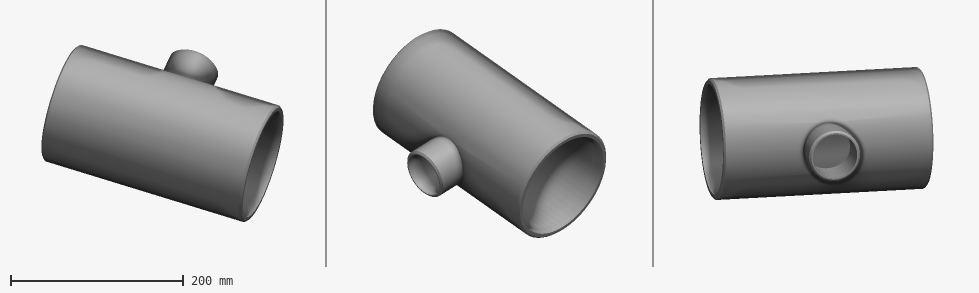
import cadquery as cq

run_length = 247.9
run_diameter = 141.3
run_wall = 6.55
branch_diameter = 60.3
branch_wall = 3.9
branch_reach = 104.65
bevel_length = 2.2
bevel_depth = 2.2

run_radius = run_diameter / 2
run_bore_radius = run_radius - run_wall
branch_radius = branch_diameter / 2
branch_bore_radius = branch_radius - branch_wall


def run_body():
    """Solid run cylinder, centred on the origin, bevelled at both ends."""
    half_length = run_length / 2
    profile = [
        (-half_length, 0),
        (-half_length, run_radius - bevel_depth),
        (-half_length + bevel_length, run_radius),
        (half_length - bevel_length, run_radius),
        (half_length, run_radius - bevel_depth),
        (half_length, 0),
    ]
    return cq.Workplane("XY").polyline(profile).close().revolve(360, (0, 0, 0), (1, 0, 0))


def branch_body():
    """Solid branch cylinder from the run axis, bevelled at its open end."""
    profile = [
        (0, 0),
        (branch_radius, 0),
        (branch_radius, branch_reach - bevel_length),
        (branch_radius - bevel_depth, branch_reach),
        (0, branch_reach),
    ]
    return cq.Workplane("XY").polyline(profile).close().revolve(360, (0, 0, 0), (0, 1, 0))


def run_bore():
    """Through bore along the run axis."""
    return cq.Workplane("YZ").circle(run_bore_radius).extrude(run_length / 2, both=True)


def branch_bore():
    """Bore from the run axis out through the branch end."""
    return cq.Workplane("XZ").circle(branch_bore_radius).extrude(-branch_reach)


result = run_body().union(branch_body()).cut(run_bore()).cut(branch_bore())